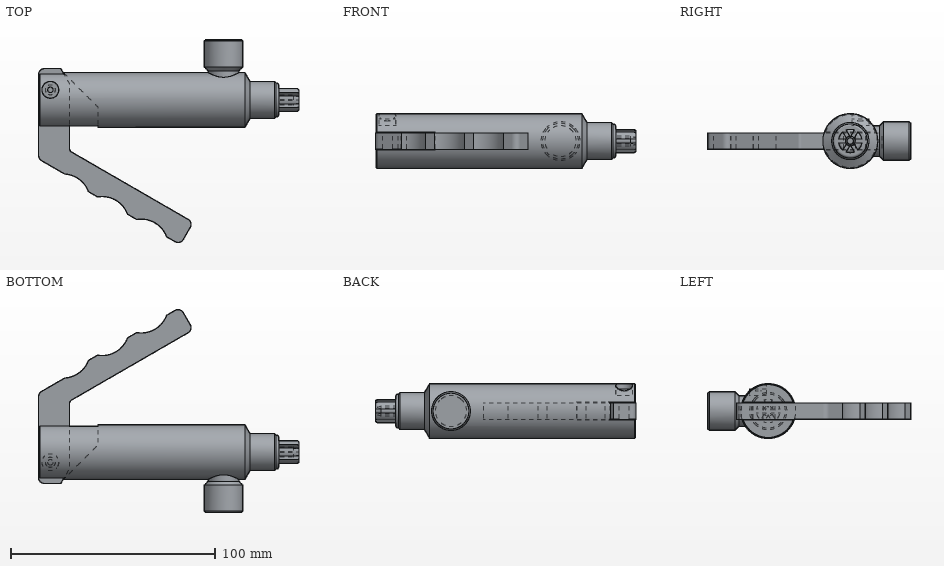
import cadquery as cq
import math

REAR_X = 0.4
REAR_CHAMFER = 0.5
BODY_D = 27.0
SHOULDER_X = 101.1
SHOULDER_ANGLE = 60
NECK_D = 18.3
NECK_END_X = 115.5
LAND_D = 16.7
LAND_END_X = 117.7
LAND_FILLET = 1.1

TIP_END_X = 127.7
TIP_D = 11.5
TIP_FILLET = 1.3
GROOVE_COUNT = 6
GROOVE_W = 1.9
CORE_D = 4.9
CORE_TAPER_X = 124.9
CORE_END_D = 3.1

FITTING_X = 90.6
FITTING_TOP_Y = 29.6
FITTING_D = 19.0
FITTING_CHAMFER = 0.8
FITTING_CONE_Y = 16.2
FITTING_NECK_D = 15.2

LEVER_T = 8.0
LEVER_W = 15.3
LEVER_TOP_Y = 15.5
HEAD_TOP_W = 11.0
HEAD_SLOPE = 60
HANDLE_ANGLE = 30
HEEL_Y = -28.9
INNER_BEND_Y = -24.9
HANDLE_END = 95.6
GRIP_RISE = 1.7
HEAD_FILLET = 3.1
HEEL_FILLET = 3.3
INNER_FILLET = 1.9
END_FILLET = 3.0

SCALLOP_COUNT = 3
SCALLOP_START = 35.2
SCALLOP_PITCH = 22.1
SCALLOP_R = 13.1
SCALLOP_DEPTH = 3.1

SLOT_W = 8.7
SLOT_FRONT_X = 29.1
SLOT_TOP_X = 12.6
SLOT_TOP_Y = 13.0
SLOT_SLOPE = 45

PIN_X = 5.9
PIN_Y = 5.0
PIN_D = 4.9
PIN_HOLE_D = 5.0
PIN_HEAD_D = 8.2
PIN_RECESS_D = 8.3
PIN_HEAD_Z = 10.9
PIN_HEAD_T = 3.2
SOCKET_D = 2.7
SOCKET_DEPTH = 1.0


def revolve_x(profile):
    """Solid of revolution about X from an open (x, radius) profile."""
    points = [(profile[0][0], 0), *profile, (profile[-1][0], 0)]
    return cq.Workplane("XY").polyline(points).close().revolve(360, (0, 0, 0), (1, 0, 0))


def pin_cylinder(diameter, bottom, top):
    """Cylinder on the pivot axis between two heights."""
    plane = cq.Workplane("XY", origin=(PIN_X, PIN_Y, bottom))
    return plane.circle(diameter / 2).extrude(top - bottom)


def make_barrel():
    body_r, neck_r, land_r = BODY_D / 2, NECK_D / 2, LAND_D / 2
    shoulder_length = (body_r - neck_r) / math.tan(math.radians(SHOULDER_ANGLE))
    barrel = revolve_x([
        (REAR_X, body_r - REAR_CHAMFER),
        (REAR_X + REAR_CHAMFER, body_r),
        (SHOULDER_X, body_r),
        (SHOULDER_X + shoulder_length, neck_r),
        (NECK_END_X, neck_r),
        (NECK_END_X + neck_r - land_r, land_r),
        (LAND_END_X, land_r),
    ])
    return barrel.faces(">X").edges().fillet(LAND_FILLET)


def make_tip():
    length = TIP_END_X - LAND_END_X
    base = cq.Workplane("YZ", origin=(LAND_END_X, 0, 0))
    tip = base.circle(TIP_D / 2).extrude(length).faces(">X").edges().fillet(TIP_FILLET)
    for i in range(GROOVE_COUNT):
        groove = cq.Workplane("XY").box(length, TIP_D, GROOVE_W, centered=(False, False, True))
        groove = groove.translate((LAND_END_X, 0, 0))
        tip = tip.cut(groove.rotate((0, 0, 0), (1, 0, 0), i * 360 / GROOVE_COUNT))
    core = revolve_x([
        (LAND_END_X, CORE_D / 2),
        (CORE_TAPER_X, CORE_D / 2),
        (TIP_END_X, CORE_END_D / 2),
    ])
    return tip.union(core)


def make_fitting():
    fitting_r, neck_r = FITTING_D / 2, FITTING_NECK_D / 2
    points = [
        (0, 0),
        (neck_r, 0),
        (neck_r, FITTING_CONE_Y - (fitting_r - neck_r)),
        (fitting_r, FITTING_CONE_Y),
        (fitting_r, FITTING_TOP_Y - FITTING_CHAMFER),
        (fitting_r - FITTING_CHAMFER, FITTING_TOP_Y),
        (0, FITTING_TOP_Y),
    ]
    fitting = cq.Workplane("XY").polyline(points).close().revolve(360, (0, 0, 0), (0, 1, 0))
    return fitting.translate((FITTING_X, 0, 0))


def make_slot():
    drop = (SLOT_FRONT_X - SLOT_TOP_X) * math.tan(math.radians(SLOT_SLOPE))
    points = [
        (0, -BODY_D),
        (SLOT_FRONT_X, -BODY_D),
        (SLOT_FRONT_X, SLOT_TOP_Y - drop),
        (SLOT_TOP_X, SLOT_TOP_Y),
        (SLOT_TOP_X, BODY_D),
        (0, BODY_D),
    ]
    return cq.Workplane("XY").polyline(points).close().extrude(SLOT_W / 2, both=True)


def make_pin():
    head_bottom = PIN_HEAD_Z - PIN_HEAD_T
    shank = pin_cylinder(PIN_D, -head_bottom, head_bottom)
    head = pin_cylinder(PIN_HEAD_D, head_bottom, PIN_HEAD_Z)
    socket = pin_cylinder(SOCKET_D, PIN_HEAD_Z - SOCKET_DEPTH, PIN_HEAD_Z)
    return shank.union(head).cut(socket)


def make_housing():
    housing = make_barrel().union(make_tip()).union(make_fitting())
    recess = pin_cylinder(PIN_RECESS_D, PIN_HEAD_Z - PIN_HEAD_T, BODY_D)
    return housing.cut(make_slot()).cut(recess).union(make_pin())


def make_lever():
    angle = math.radians(HANDLE_ANGLE)
    cos, sin = math.cos(angle), math.sin(angle)

    def on_handle(along, out):
        """Point at a distance along the handle and a distance outward from the origin."""
        return (along * cos - out * sin, -along * sin - out * cos)

    heel_out = -HEEL_Y * cos
    grip_out = heel_out + GRIP_RISE
    inner_out = -LEVER_W * sin - INNER_BEND_Y * cos
    corner_drop = (LEVER_W - HEAD_TOP_W) * math.tan(math.radians(HEAD_SLOPE))
    scallop_out = grip_out - SCALLOP_DEPTH + SCALLOP_R

    top_left = (0, LEVER_TOP_Y)
    heel = (0, HEEL_Y)
    grip_end = on_handle(HANDLE_END, grip_out)
    inner_end = on_handle(HANDLE_END, inner_out)
    inner_bend = (LEVER_W, INNER_BEND_Y)
    points = [
        top_left,
        heel,
        on_handle(SCALLOP_START, heel_out),
        on_handle(SCALLOP_START, grip_out),
        grip_end,
        inner_end,
        inner_bend,
        (LEVER_W, LEVER_TOP_Y - corner_drop),
        (HEAD_TOP_W, LEVER_TOP_Y),
    ]
    lever = cq.Workplane("XY").polyline(points).close().extrude(LEVER_T / 2, both=True)

    fillets = [
        (top_left, HEAD_FILLET),
        (heel, HEEL_FILLET),
        (inner_bend, INNER_FILLET),
        (grip_end, END_FILLET),
        (inner_end, END_FILLET),
    ]
    for (x, y), radius in fillets:
        lever = lever.edges(cq.NearestToPointSelector((x, y, 0))).fillet(radius)

    for i in range(SCALLOP_COUNT):
        x, y = on_handle(SCALLOP_START + i * SCALLOP_PITCH, scallop_out)
        scallop = cq.Workplane("XY").center(x, y).circle(SCALLOP_R).extrude(LEVER_T, both=True)
        lever = lever.cut(scallop)

    return lever.cut(pin_cylinder(PIN_HOLE_D, -LEVER_T, LEVER_T))


housing = make_housing()
lever = make_lever()
result = cq.Compound.makeCompound([housing.val(), lever.val()])